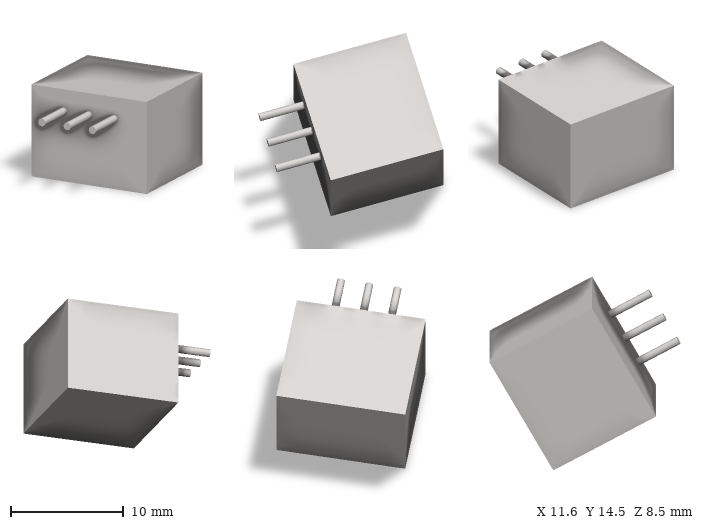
import cadquery as cq

body_width = 11.6
body_depth = 10.41
body_height = 8.5

pin_count = 3
pin_pitch = 2.54
pin_diameter = 0.7
pin_length = 4.1
pin_drop = 2.0


def make_body():
    """Housing with its front face on Y = 0 and its base on Z = 0."""
    return cq.Workplane("XY").box(body_width, body_depth, body_height, centered=(True, False, False))


def make_pins():
    """Straight pins running out of the front face along -Y."""
    return (
        cq.Workplane("XZ")
        .center(0, body_height - pin_drop)
        .rarray(pin_pitch, 1, pin_count, 1)
        .circle(pin_diameter / 2)
        .extrude(pin_length)
    )


result = make_body().union(make_pins())